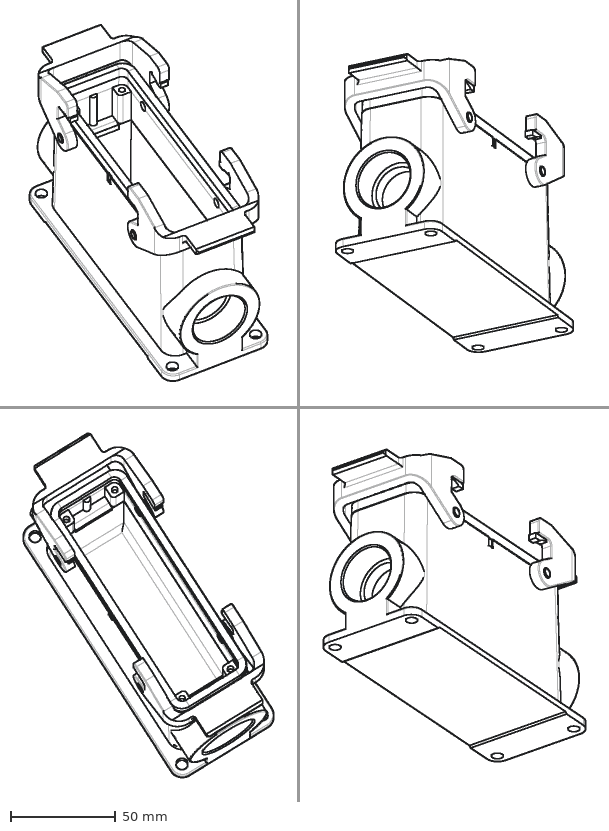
import cadquery as cq
import math

BASE_LENGTH = 144.0
BASE_WIDTH = 57.0
BASE_HEIGHT = 4.4
BASE_CORNER_RADIUS = 6.3
BASE_EDGE_RADIUS = 0.6
FOOT_HEIGHT = 1.0
FOOT_INNER_X = 52.3
MOUNT_HOLE_DIAMETER = 5.7
MOUNT_HOLE_X = 66.1
MOUNT_HOLE_Y = 22.7

WALL_TOP_Z = 75.2
WALL_BOTTOM = (61.5, 22.4)
WALL_TOP = (59.8, 21.5)
WALL_CORNER_RADIUS = 7.9

RIM_TOP_Z = 81.2
RIM_OUTER = (59.3, 21.1, 7.0)
RIM_CROWN = 0.5
MOUTH = (55.9, 17.2, 3.3)
MOUTH_BOTTOM_Z = 75.7
CAVITY_LIP = (55.7, 17.0, 3.3)
LIP_BOTTOM_Z = 70.0
CAVITY_BOTTOM = (48.8, 16.7)
CAVITY_TOP_END_X = 49.0
FLOOR_Z = 4.7
FLOOR_FILLET = 3.1

SHELF_Z = 50.8
SHELF_EDGE_RADIUS = 3.1
POST_TOP_Z = 70.0
POST_INNER_Y = 10.4
POST_CORNER_RADIUS = 1.9
POST_WALL_OVERLAP = 0.8
SCREW_HOLE_DIAMETER = 3.0
SCREW_HOLE_DEPTH = 6.3
SCREW_X = 52.1
SCREW_Y = 13.7
KEY_RADIUS = 1.9

ENTRY_Z = 30.5
ENTRY_DIAMETER = 43.8
ENTRY_EDGE_RADIUS = 0.5
BORE_DIAMETER = 28.3
BORE_DEPTH = 14.8
BORE_CHAMFER = 0.8
KNOCKOUT_DIAMETER = 24.0
KNOCKOUT_DEPTH = 21.2
WEB_HALF_WIDTH = 12.5

MARK_WIDTH = 3.3
MARK_HEIGHT = 4.7
MARK_DEPTH = 0.8

LEVER_OUTER_X = 66.3
LEVER_OUTER_Y = 27.9
LEVER_INNER_X = 62.6
LEVER_INNER_Y = 22.5
LEVER_OUTER_RADIUS = 9.0
LEVER_INNER_RADIUS = 4.4
LEVER_EDGE_RADIUS = 0.5
LEVER_TOP_Z = 98.8
PLATE_TOP_Z = 91.0
BEND_TOP_Z = 93.7
PLATE_BOTTOM_Z = 80.7
SLOPE_END_X = 41.0
HOOK_TIP_X = 30.4
HOOK_BOTTOM_Z = 89.9
HOOK_TIP_RADIUS = 2.4
NOTCH_X = 40.5
NOTCH_BOTTOM_Z = 80.6
NOTCH_RADIUS = 2.5
CATCH_TIP_X = 29.6
CATCH_BOTTOM_Z = 87.0
CATCH_FLAT_END_X = 33.0
CATCH_CURVE_MIDDLE = (35.3, 88.3)
CATCH_CURVE_END = (38.5, 88.8)
CATCH_OUTER_Y = 26.6
PIVOT_X = 37.0
PIVOT_Z = 70.7
EYE_RADIUS = 6.8

PIN_DIAMETER = 4.7
PIN_HEAD_DIAMETER = 5.0
PIN_HEAD_CHAMFER = 0.5
PIN_HEAD_HEIGHT = 0.55
COLLAR_DIAMETER = 7.0
COLLAR_INNER_Y = 21.9

TAB_END_X = 78.7
TAB_HALF_WIDTH = 15.9
TAB_THICKNESS = 3.6
TAB_CHAMFER = 1.4
TAB_CORNER = 1.0
TAB_ROOT_RADIUS = 1.5
SELECTION_MARGIN = 0.2

SIDES = (-1, 1)


def rounded_section(section, z):
    half_x, half_y, radius = section
    sketch = cq.Sketch().rect(2 * half_x, 2 * half_y).vertices().fillet(radius)
    return cq.Workplane("XY").workplane(offset=z).placeSketch(sketch)


def prism(section, z_bottom, z_top):
    return rounded_section(section, z_bottom).extrude(z_top - z_bottom)


def tapered(section_low, z_low, section_high, z_high):
    low = cq.Sketch().rect(2 * section_low[0], 2 * section_low[1]).vertices().fillet(section_low[2])
    high = cq.Sketch().rect(2 * section_high[0], 2 * section_high[1]).vertices().fillet(section_high[2])
    high = high.moved(cq.Location(cq.Vector(0, 0, z_high - z_low)))
    return cq.Workplane("XY").workplane(offset=z_low).placeSketch(low, high).loft(ruled=True)


def tapered_block(half_low, z_low, half_high, z_high):
    return (
        cq.Workplane("XY", origin=(0, 0, z_low))
        .rect(2 * half_low[0], 2 * half_low[1])
        .workplane(offset=z_high - z_low)
        .rect(2 * half_high[0], 2 * half_high[1])
        .loft()
    )


def block(x_range, y_range, z_range):
    size = [high - low for low, high in (x_range, y_range, z_range)]
    corner = (x_range[0], y_range[0], z_range[0])
    return cq.Workplane("XY").box(*size, centered=False).translate(corner)


def path_wire(section, z):
    """Closed rounded rectangle that starts at the middle of its +Y side."""
    half_x, half_y, radius = section
    return (
        cq.Workplane("XY", origin=(0, 0, z))
        .moveTo(0, half_y)
        .lineTo(half_x - radius, half_y)
        .radiusArc((half_x, half_y - radius), radius)
        .lineTo(half_x, radius - half_y)
        .radiusArc((half_x - radius, -half_y), radius)
        .lineTo(radius - half_x, -half_y)
        .radiusArc((-half_x, radius - half_y), radius)
        .lineTo(-half_x, half_y - radius)
        .radiusArc((radius - half_x, half_y), radius)
        .close()
    )


def make_base():
    section = (BASE_LENGTH / 2, BASE_WIDTH / 2, BASE_CORNER_RADIUS)
    base = prism(section, 0, BASE_HEIGHT).faces(">Z").edges().fillet(BASE_EDGE_RADIUS)
    relief = (
        cq.Workplane("XZ")
        .moveTo(-FOOT_INNER_X, 0)
        .lineTo(FOOT_INNER_X, 0)
        .lineTo(FOOT_INNER_X - FOOT_HEIGHT, FOOT_HEIGHT)
        .lineTo(-FOOT_INNER_X + FOOT_HEIGHT, FOOT_HEIGHT)
        .close()
        .extrude(BASE_WIDTH, both=True)
    )
    holes = (
        cq.Workplane("XY")
        .rect(2 * MOUNT_HOLE_X, 2 * MOUNT_HOLE_Y, forConstruction=True)
        .vertices()
        .circle(MOUNT_HOLE_DIAMETER / 2)
        .extrude(BASE_HEIGHT)
    )
    return base.cut(relief).cut(holes)


def make_walls():
    walls = tapered_block(WALL_BOTTOM, BASE_HEIGHT, WALL_TOP, WALL_TOP_Z)
    return walls.edges("not (|X or |Y)").fillet(WALL_CORNER_RADIUS)


def make_rim():
    """Raised ring around the mouth, crowned across its width."""
    half_band = (RIM_OUTER[1] - MOUTH[1]) / 2
    shoulder_z = RIM_TOP_Z - RIM_CROWN
    ring = prism(RIM_OUTER, WALL_TOP_Z, shoulder_z).cut(prism(MOUTH, WALL_TOP_Z, shoulder_z))
    mid_line = [size - half_band for size in RIM_OUTER]
    crown = (
        cq.Workplane("YZ", origin=(0, mid_line[1], shoulder_z))
        .moveTo(-half_band, 0)
        .threePointArc((0, RIM_CROWN), (half_band, 0))
        .close()
        .sweep(path_wire(mid_line, shoulder_z), transition="right")
    )
    return ring.union(crown)


def cylinder_x(diameter, x_start, length):
    """Cylinder on the cable entry axis, from x_start toward +X."""
    return cq.Workplane("YZ", origin=(x_start, 0, ENTRY_Z)).circle(diameter / 2).extrude(length)


def make_entry():
    """Solid cable entry of the -X end, with the web that carries it."""
    end_x = -BASE_LENGTH / 2
    reach = BASE_LENGTH / 2 - WALL_TOP[0] + WALL_CORNER_RADIUS
    boss = cylinder_x(ENTRY_DIAMETER, end_x, reach)
    web = block((end_x, end_x + reach), (-WEB_HALF_WIDTH, WEB_HALF_WIDTH), (FOOT_HEIGHT, ENTRY_Z))
    return boss.union(web).faces("<X").edges("not <Z").fillet(ENTRY_EDGE_RADIUS)


def make_entry_bore():
    end_x = -BASE_LENGTH / 2
    bore = cylinder_x(BORE_DIAMETER, end_x, BORE_DEPTH)
    knockout = cylinder_x(KNOCKOUT_DIAMETER, end_x, KNOCKOUT_DEPTH)
    mouth = (
        cq.Workplane("YZ", origin=(end_x, 0, ENTRY_Z))
        .circle(BORE_DIAMETER / 2 + BORE_CHAMFER)
        .workplane(offset=BORE_CHAMFER)
        .circle(BORE_DIAMETER / 2)
        .loft()
    )
    return bore.union(knockout).union(mouth)


def make_cavity():
    mouth = prism(MOUTH, MOUTH_BOTTOM_Z, RIM_TOP_Z)
    lip = tapered(CAVITY_LIP, LIP_BOTTOM_Z, MOUTH, MOUTH_BOTTOM_Z)
    upper = prism(CAVITY_LIP, SHELF_Z, LIP_BOTTOM_Z)
    deep = tapered_block(CAVITY_BOTTOM, FLOOR_Z, (CAVITY_TOP_END_X, CAVITY_LIP[1]), LIP_BOTTOM_Z)
    deep = deep.faces("<Z").edges().fillet(FLOOR_FILLET)
    return mouth.union(lip).union(upper).union(deep)


def make_shelf_edges():
    """Material removed to round the inner edge of both shelves."""
    r = SHELF_EDGE_RADIUS
    edge = CAVITY_TOP_END_X
    profile = (
        cq.Workplane("XZ", origin=(0, POST_INNER_Y, 0))
        .moveTo(edge, SHELF_Z)
        .lineTo(edge + r, SHELF_Z)
        .radiusArc((edge, SHELF_Z - r), -r)
        .close()
        .extrude(2 * POST_INNER_Y)
    )
    return profile.union(profile.mirror("YZ"))


def make_posts():
    """Four screw posts and the half-round key between each pair."""
    post = block(
        (CAVITY_TOP_END_X, CAVITY_LIP[0] + POST_WALL_OVERLAP),
        (POST_INNER_Y, CAVITY_LIP[1] + POST_WALL_OVERLAP),
        (SHELF_Z, POST_TOP_Z),
    )
    post = post.edges("|Z and <X and <Y").fillet(POST_CORNER_RADIUS)
    screw_hole = (
        cq.Workplane("XY", origin=(SCREW_X, SCREW_Y, POST_TOP_Z))
        .circle(SCREW_HOLE_DIAMETER / 2)
        .extrude(-SCREW_HOLE_DEPTH)
    )
    post = post.cut(screw_hole)
    key = (
        cq.Workplane("XY", origin=(CAVITY_LIP[0], 0, SHELF_Z))
        .circle(KEY_RADIUS)
        .extrude(POST_TOP_Z - SHELF_Z)
    )
    pair = post.union(post.mirror("XZ")).union(key)
    return pair.union(pair.mirror("YZ"))


def make_mark(side):
    """Shallow notch at the middle of one long wall."""
    y = side * WALL_TOP[1]
    return block(
        (-MARK_WIDTH / 2, MARK_WIDTH / 2),
        (y - MARK_DEPTH, y + MARK_DEPTH),
        (WALL_TOP_Z - MARK_HEIGHT, WALL_TOP_Z),
    )


def cylinder_y(diameter, y_outer, y_inner):
    """Cylinder on the pivot axis of the +X lever."""
    workplane = cq.Workplane("XZ", origin=(PIVOT_X, y_outer, PIVOT_Z))
    return workplane.circle(diameter / 2).extrude(y_outer - y_inner)


def make_pins():
    """Pivot pins of the +X lever."""
    shaft = cylinder_y(PIN_DIAMETER, LEVER_OUTER_Y, CAVITY_LIP[1])
    head = cylinder_y(PIN_HEAD_DIAMETER, LEVER_OUTER_Y + PIN_HEAD_HEIGHT, LEVER_OUTER_Y)
    head = head.faces(">Y").edges().chamfer(PIN_HEAD_CHAMFER)
    collar = cylinder_y(COLLAR_DIAMETER, LEVER_INNER_Y, COLLAR_INNER_Y)
    pin = shaft.union(head).union(collar)
    return pin.union(pin.mirror("XZ"))


def make_housing():
    entry = make_entry()
    bore = make_entry_bore()
    pins = make_pins()
    housing = make_base().union(make_walls()).union(make_rim())
    housing = housing.union(entry).union(entry.mirror("YZ"))
    housing = housing.cut(make_cavity()).cut(make_shelf_edges()).union(make_posts())
    housing = housing.cut(bore).cut(bore.mirror("YZ"))
    for side in SIDES:
        housing = housing.cut(make_mark(side))
    return housing.cut(pins).cut(pins.mirror("YZ"))


def tangent_point(x, z, turn):
    """Where the line from (x, z) touches the pivot eye; turn picks one of the two tangents."""
    dx = x - PIVOT_X
    dz = z - PIVOT_Z
    angle = math.atan2(dz, dx) + turn * math.acos(EYE_RADIUS / math.hypot(dx, dz))
    return (PIVOT_X + EYE_RADIUS * math.cos(angle), PIVOT_Z + EYE_RADIUS * math.sin(angle))


def side_prism(outline):
    return outline.close().extrude(BASE_WIDTH, both=True)


def make_lever_frame():
    """U-shaped frame of the +X lever: two hooked arms joined by the end plate."""
    bend_x = LEVER_OUTER_X - LEVER_OUTER_RADIUS
    lower_tangent = tangent_point(LEVER_OUTER_X, PLATE_BOTTOM_Z, -1)
    upper_tangent = tangent_point(NOTCH_X, NOTCH_BOTTOM_Z, 1)
    profile = side_prism(
        cq.Workplane("XZ")
        .moveTo(LEVER_OUTER_X, PLATE_BOTTOM_Z)
        .lineTo(LEVER_OUTER_X, PLATE_TOP_Z)
        .lineTo(LEVER_INNER_X, PLATE_TOP_Z)
        .lineTo(bend_x, BEND_TOP_Z)
        .lineTo(SLOPE_END_X, LEVER_TOP_Z)
        .lineTo(HOOK_TIP_X + HOOK_TIP_RADIUS, LEVER_TOP_Z)
        .radiusArc((HOOK_TIP_X, LEVER_TOP_Z - HOOK_TIP_RADIUS), -HOOK_TIP_RADIUS)
        .lineTo(HOOK_TIP_X, HOOK_BOTTOM_Z)
        .lineTo(NOTCH_X - NOTCH_RADIUS, HOOK_BOTTOM_Z)
        .radiusArc((NOTCH_X, HOOK_BOTTOM_Z - NOTCH_RADIUS), NOTCH_RADIUS)
        .lineTo(NOTCH_X, NOTCH_BOTTOM_Z)
        .lineTo(*upper_tangent)
        .threePointArc((PIVOT_X, PIVOT_Z - EYE_RADIUS), lower_tangent)
    )
    bottom_z = PIVOT_Z - EYE_RADIUS
    outer = prism((LEVER_OUTER_X, LEVER_OUTER_Y, LEVER_OUTER_RADIUS), bottom_z, LEVER_TOP_Z)
    inner = prism((LEVER_INNER_X, LEVER_INNER_Y, LEVER_INNER_RADIUS), bottom_z, LEVER_TOP_Z)
    frame = profile.intersect(outer.cut(inner))
    return frame.faces(">Y or <Y").edges().fillet(LEVER_EDGE_RADIUS)


def make_catches():
    """Curved catch under each hook, set back from the outer face of the arm."""
    catch = side_prism(
        cq.Workplane("XZ")
        .moveTo(CATCH_TIP_X, HOOK_BOTTOM_Z)
        .lineTo(CATCH_TIP_X, CATCH_BOTTOM_Z)
        .lineTo(CATCH_FLAT_END_X, CATCH_BOTTOM_Z)
        .threePointArc(CATCH_CURVE_MIDDLE, CATCH_CURVE_END)
        .lineTo(CATCH_CURVE_END[0], HOOK_BOTTOM_Z)
    )
    rails = block((0, LEVER_OUTER_X), (LEVER_INNER_Y, CATCH_OUTER_Y), (0, LEVER_TOP_Z))
    return catch.intersect(rails.union(rails.mirror("XZ")))


def make_tab():
    tab = block(
        (LEVER_INNER_X, TAB_END_X),
        (-TAB_HALF_WIDTH, TAB_HALF_WIDTH),
        (PLATE_TOP_Z - TAB_THICKNESS, PLATE_TOP_Z),
    )
    tab = tab.edges("|Z and >X").chamfer(TAB_CORNER)
    return tab.faces(">X").edges("|Y").chamfer(TAB_CHAMFER)


def make_lever():
    """Lever of the +X end with its thumb tab and pivot pins."""
    lever = make_lever_frame().union(make_catches()).union(make_tab())
    reach_y = TAB_HALF_WIDTH + SELECTION_MARGIN
    tab_root = cq.selectors.BoxSelector(
        (LEVER_OUTER_X - SELECTION_MARGIN, -reach_y, PLATE_BOTTOM_Z),
        (LEVER_OUTER_X + SELECTION_MARGIN, reach_y, PLATE_TOP_Z - SELECTION_MARGIN),
    )
    lever = lever.edges(tab_root).fillet(TAB_ROOT_RADIUS)
    return lever.union(make_pins())


housing = make_housing()
lever = make_lever()
result = cq.Compound.makeCompound([housing.val(), lever.val(), lever.mirror("YZ").val()])